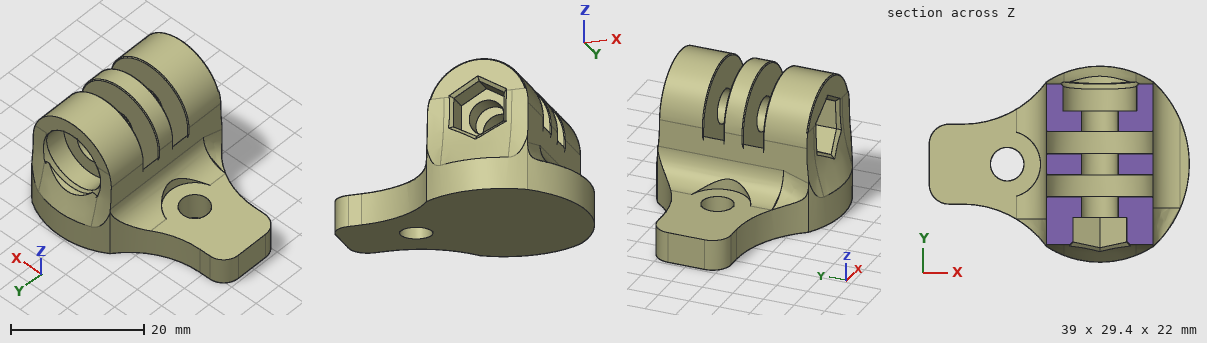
import cadquery as cq
import math


base_height = 5.0
disc_radius = 14.7
tab_end_x = -25.6
nose_x = 13.4
tab_half_width = 6.0
tab_corner_radius = 3.0
neck_start_x = -20.5

total_height = 22.0
knuckle_radius = 8.0
knuckle_half_length = 12.0
axis_z = total_height - knuckle_radius
waist_y = math.sqrt(disc_radius**2 - knuckle_radius**2)
edge_chamfer = 0.15

slot_inner_y = 1.6
slot_outer_y = 4.88
slot_floor_radius = 8.1

tab_fillet = 4.52
tab_fillet_shrink_y = -8.23
tab_fillet_end = (0.7, 3.2)
nose_fillet = 4.0
nose_fillet_shrink_y = -6.6
nose_fillet_end = (0.7, 2.55)

quarter_arc_pull = 4 * (math.sqrt(2) - 1) / 3

flare_flat_half_width = 5.4
flare_levels = [
    (base_height, disc_radius, 12.7),
    (7.2, 13.73, 12.5),
    (9.95, 12.68, 12.2),
    (12.87, 12.13, 12.05),
    (16.38, knuckle_half_length, knuckle_half_length),
]

screw_hole_diameter = 5.0
screw_hole_x = -13.9
screw_head_diameter = 10.0
pivot_diameter = 5.5
nut_flats = 8.0
bolt_head_diameter = 11.0
recess_floor_y = 8.0
recess_chamfer = 0.55
chamfer_overrun = 0.4
nut_corner_reach = (12.0, 12.0, 12.2, 13.05, 12.2, 12.0)
bolt_cone_y = 12.3
bolt_cone_tilt = -6


def base_outline():
    """Closed outline of the plate: rounded tab, concave neck, two end arcs and a nose arc."""
    neck_dx = -knuckle_radius - neck_start_x
    neck_dy = waist_y - tab_half_width
    neck_radius = (neck_dx**2 + neck_dy**2) / (2 * neck_dy)
    neck_angle = math.asin(neck_dx / neck_radius) / 2
    neck_mid = (
        neck_start_x + neck_radius * math.sin(neck_angle),
        tab_half_width + neck_radius * (1 - math.cos(neck_angle)),
    )
    return (
        cq.Workplane("XY")
        .moveTo(tab_end_x, -tab_half_width)
        .lineTo(neck_start_x, -tab_half_width)
        .threePointArc((neck_mid[0], -neck_mid[1]), (-knuckle_radius, -waist_y))
        .threePointArc((0, -disc_radius), (knuckle_radius, -waist_y))
        .threePointArc((nose_x, 0), (knuckle_radius, waist_y))
        .threePointArc((0, disc_radius), (-knuckle_radius, waist_y))
        .threePointArc(neck_mid, (neck_start_x, tab_half_width))
        .lineTo(tab_end_x, tab_half_width)
        .close()
    )


def plate_prism(height):
    corners = cq.selectors.BoxSelector(
        (tab_end_x - 0.4, -disc_radius, -0.4), (tab_end_x + 0.4, disc_radius, height + 0.4)
    )
    return base_outline().extrude(height).edges("|Z").edges(corners).fillet(tab_corner_radius)


def knuckle_block(half_length):
    """Round-topped block centred on the origin along Y."""
    return (
        cq.Workplane("XZ", origin=(0, half_length, 0))
        .moveTo(-knuckle_radius, 0)
        .lineTo(knuckle_radius, 0)
        .lineTo(knuckle_radius, axis_z)
        .threePointArc((0, total_height), (-knuckle_radius, axis_z))
        .close()
        .extrude(2 * half_length)
    )


def flare():
    """Loft on the -Y end that spreads from the knuckle face down to the disc edge."""
    sections = []
    for height, middle_reach, side_reach in flare_levels:
        disc_drop = disc_radius - math.sqrt(disc_radius**2 - flare_flat_half_width**2)
        spread = (middle_reach - knuckle_half_length) / (disc_radius - knuckle_half_length)
        shoulder_reach = middle_reach - disc_drop * spread
        section = (
            cq.Workplane("XY", origin=(0, 0, height))
            .moveTo(-knuckle_radius, 0)
            .lineTo(-knuckle_radius, -side_reach)
            .lineTo(-flare_flat_half_width, -shoulder_reach)
        )
        if spread > 0:
            section = section.threePointArc((0, -middle_reach), (flare_flat_half_width, -shoulder_reach))
        else:
            section = section.lineTo(flare_flat_half_width, -shoulder_reach)
        section = section.lineTo(knuckle_radius, -side_reach).lineTo(knuckle_radius, 0).close()
        sections.append(section.val())
    return cq.Workplane(cq.Solid.makeLoft(sections))


def fillet_section(side, y, width, height):
    """Concave corner section beside the knuckle; side is -1 for the tab and 1 for the nose."""
    wall_x = side * knuckle_radius
    foot_x = wall_x + side * width
    top_z = base_height + height
    return (
        cq.Workplane("XZ", origin=(0, y, 0))
        .moveTo(wall_x, base_height)
        .lineTo(wall_x, top_z)
        .bezier(
            [
                (wall_x, top_z - height * quarter_arc_pull),
                (foot_x - side * width * quarter_arc_pull, base_height),
                (foot_x, base_height),
            ],
            includeCurrent=True,
        )
        .close()
    )


def side_fillet(side, radius, shrink_y, end_size):
    wall_x = side * knuckle_radius
    straight = (
        cq.Workplane("XZ", origin=(0, waist_y, 0))
        .moveTo(wall_x, base_height)
        .lineTo(wall_x, base_height + radius)
        .radiusArc((wall_x + side * radius, base_height), side * -radius)
        .close()
        .extrude(waist_y - shrink_y)
    )
    start = fillet_section(side, shrink_y, radius, radius).val()
    end = fillet_section(side, -waist_y, *end_size).val()
    return straight.union(cq.Workplane(cq.Solid.makeLoft([start, end], True)))


def slot(centre_y):
    """Gap between fingers with a concave floor concentric with the pivot."""
    width = slot_outer_y - slot_inner_y
    start = cq.Workplane("XZ", origin=(0, centre_y + width / 2, axis_z))
    above = start.rect(2 * slot_floor_radius, 2 * slot_floor_radius).extrude(width)
    above = above.translate((0, 0, slot_floor_radius))
    return start.circle(slot_floor_radius).extrude(width).union(above)


def along_axis(y):
    """Sketch plane across the pivot axis; extrusions from it run towards -Y."""
    return cq.Workplane("XZ", origin=(0, y, axis_z))


body = knuckle_block(knuckle_half_length).faces("<Y").edges("%CIRCLE").chamfer(edge_chamfer)
trimmed_flare = flare().intersect(knuckle_block(disc_radius))
body = body.union(trimmed_flare).union(trimmed_flare.mirror("XZ"))
body = body.union(side_fillet(-1, tab_fillet, tab_fillet_shrink_y, tab_fillet_end))
body = body.union(side_fillet(1, nose_fillet, nose_fillet_shrink_y, nose_fillet_end))
body = body.intersect(plate_prism(total_height)).union(plate_prism(base_height))

screw_plane = cq.Workplane("XY").center(screw_hole_x, 0)
body = body.cut(screw_plane.circle(screw_hole_diameter / 2).extrude(base_height))
body = body.cut(
    screw_plane.workplane(offset=base_height).circle(screw_head_diameter / 2).extrude(tab_fillet)
)

nut_corners = nut_flats / math.cos(math.pi / 6)
nut_recess = along_axis(-recess_floor_y).transformed(rotate=(0, 0, 90)).polygon(6, nut_corners)
body = body.cut(nut_recess.extrude(disc_radius))
body = body.cut(along_axis(recess_floor_y + disc_radius).circle(bolt_head_diameter / 2).extrude(disc_radius))


def nut_chamfer_section(corner, face_y):
    """Radial triangle at one nut corner; it cuts the rim and runs on beyond the face."""
    angle = math.radians(90 + 60 * corner)

    def point(grow, y):
        radius = nut_corners / 2 + grow / math.cos(math.pi / 6)
        return cq.Vector(radius * math.cos(angle), y, axis_z + radius * math.sin(angle))

    inner_y = -face_y + recess_chamfer
    outer_size = recess_chamfer + chamfer_overrun
    outer_y = inner_y - outer_size
    return cq.Wire.makePolygon(
        [point(0, inner_y), point(outer_size, outer_y), point(0, outer_y)], close=True
    )


for corner in range(6):
    following = (corner + 1) % 6
    sections = [nut_chamfer_section(index, nut_corner_reach[index]) for index in (corner, following)]
    body = body.cut(cq.Workplane(cq.Solid.makeLoft(sections, True)))

cone_height = recess_chamfer + chamfer_overrun
bolt_cone = cq.Solid.makeCone(
    bolt_head_diameter / 2,
    bolt_head_diameter / 2 + cone_height,
    cone_height,
    cq.Vector(0, 0, -recess_chamfer),
    cq.Vector(0, 0, 1),
)
bolt_cone = bolt_cone.rotate(cq.Vector(0, 0, 0), cq.Vector(1, 0, 0), bolt_cone_tilt - 90)
body = body.cut(cq.Workplane(bolt_cone.translate(cq.Vector(0, bolt_cone_y, axis_z))))

slot_centre_y = (slot_inner_y + slot_outer_y) / 2
for centre_y in (-slot_centre_y, slot_centre_y):
    body = body.cut(slot(centre_y))
slot_edges = cq.selectors.BoxSelector(
    (-knuckle_radius - 0.4, -slot_outer_y - 0.4, axis_z - 0.4),
    (knuckle_radius + 0.4, slot_outer_y + 0.4, total_height + 0.4),
    boundingbox=True,
)
body = body.edges(slot_edges).edges("%CIRCLE").chamfer(edge_chamfer)

result = body.cut(along_axis(disc_radius).circle(pivot_diameter / 2).extrude(2 * disc_radius))